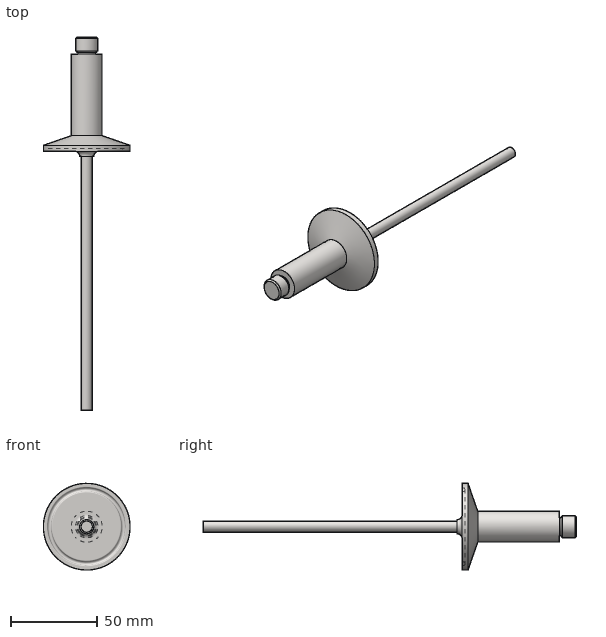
import cadquery as cq
import math

total_length = 216.0
pin_radius = 3.2
flange_radius = 25.17
sleeve_radius = 8.96
head_radius = 6.5
head_chamfer = 0.9
neck_radius = 5.2
collar_radius = 4.0
collar_fillet = 3.0

head_length = 8.9
neck_length = 1.0
sleeve_length = 47.0
cone_length = 5.6
rim_thickness = 3.5

groove_center_radius = 21.4
groove_radius = 1.0
lip_radius = 0.6

rim_back = rim_thickness
sleeve_start = rim_back + cone_length
sleeve_end = sleeve_start + sleeve_length
head_start = sleeve_end + neck_length
head_end = head_start + head_length
pin_end = head_end - total_length


def make_body():
    """Revolve the pin, collar, flange, sleeve and head in one profile."""
    arc_offset = collar_fillet * (1 - math.sqrt(0.5))
    profile = (
        cq.Workplane("XY")
        .moveTo(0, pin_end)
        .lineTo(pin_radius, pin_end)
        .lineTo(pin_radius, -collar_fillet)
        .lineTo(collar_radius, -collar_fillet)
        .threePointArc(
            (collar_radius + arc_offset, -arc_offset),
            (collar_radius + collar_fillet, 0),
        )
        .lineTo(flange_radius, 0)
        .lineTo(flange_radius, rim_back)
        .lineTo(sleeve_radius, sleeve_start)
        .lineTo(sleeve_radius, sleeve_end)
        .lineTo(neck_radius, sleeve_end)
        .lineTo(neck_radius, head_start)
        .lineTo(head_radius - head_chamfer, head_start)
        .lineTo(head_radius, head_start + head_chamfer)
        .lineTo(head_radius, head_end - head_chamfer)
        .lineTo(head_radius - head_chamfer, head_end)
        .lineTo(0, head_end)
        .close()
    )
    return profile.revolve(360, (0, 0), (0, 1))


def make_groove_cutter():
    """Revolve a half-round groove whose lips flare smoothly onto the face."""
    lip_offset = lip_radius * (1 - math.sqrt(0.5))
    inner_wall = groove_center_radius - groove_radius
    outer_wall = groove_center_radius + groove_radius
    profile = (
        cq.Workplane("XY")
        .moveTo(inner_wall - lip_radius, 0)
        .threePointArc((inner_wall - lip_offset, lip_offset), (inner_wall, lip_radius))
        .threePointArc(
            (groove_center_radius, lip_radius + groove_radius),
            (outer_wall, lip_radius),
        )
        .threePointArc((outer_wall + lip_offset, lip_offset), (outer_wall + lip_radius, 0))
        .close()
    )
    return profile.revolve(360, (0, 0), (0, 1))


body = make_body().cut(make_groove_cutter())
result = body.translate((0, total_length / 2 - head_end, 0))